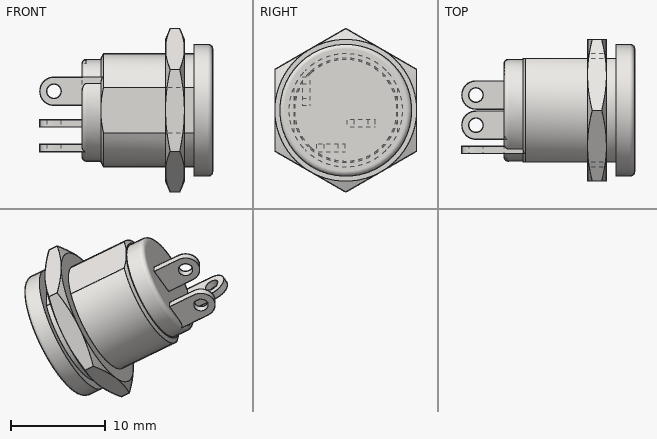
import cadquery as cq
import math

total_length = 18.3
boss_start = 4.47
barrel_start = 6.5
nut_start = 13.3
nut_thickness = 2.0
flange_thickness = 2.0
flange_start = total_length - flange_thickness

boss_radius = 5.4
boss_round = 0.5
barrel_radius = 6.0
barrel_flat_width = 10.98
barrel_chamfer_length = 0.25
barrel_chamfer_depth = 0.45
flange_radius = 6.97
flange_round = 0.5

nut_across_flats = 15.0
nut_corner_radius = nut_across_flats / math.sqrt(3)
nut_chamfer_length = 0.5

terminal_width = 3.0
terminal_thickness = 0.8
terminal_hole_diameter = 1.5
terminal_end = barrel_start + barrel_chamfer_length / 2
upright_terminal_center = (-4.19, 2.01)
flat_terminal_centers = [(1.61, -1.39), (-1.57, -3.99)]


def cylinder(start, length, radius):
    """Solid cylinder along +X, starting at the given X position."""
    return cq.Workplane("YZ").workplane(offset=start).circle(radius).extrude(length)


def make_barrel():
    """Round barrel with a chamfered rear rim and two side flats."""
    rim_radius = barrel_radius - barrel_chamfer_depth
    round_barrel = (
        cq.Workplane("XY")
        .moveTo(barrel_start, 0)
        .lineTo(barrel_start, rim_radius)
        .lineTo(barrel_start + barrel_chamfer_length, barrel_radius)
        .lineTo(flange_start, barrel_radius)
        .lineTo(flange_start, 0)
        .close()
        .revolve(360, (0, 0, 0), (1, 0, 0))
    )
    flat_limits = cq.Workplane("XY").box(
        2 * total_length, barrel_flat_width, 2 * barrel_radius
    )
    return round_barrel.intersect(flat_limits)


def make_nut():
    """Hexagon with cone-trimmed corners and a round bore, open beside the barrel flats."""
    corners = [
        (
            nut_corner_radius * math.sin(math.radians(60 * i)),
            nut_corner_radius * math.cos(math.radians(60 * i)),
        )
        for i in range(6)
    ]
    hexagon = (
        cq.Workplane("YZ")
        .workplane(offset=nut_start)
        .polyline(corners)
        .close()
        .extrude(nut_thickness)
    )
    face_radius = nut_across_flats / 2
    nut_end = nut_start + nut_thickness
    double_cone = (
        cq.Workplane("XY")
        .moveTo(nut_start, 0)
        .lineTo(nut_start, face_radius)
        .lineTo(nut_start + nut_chamfer_length, nut_corner_radius)
        .lineTo(nut_end - nut_chamfer_length, nut_corner_radius)
        .lineTo(nut_end, face_radius)
        .lineTo(nut_end, 0)
        .close()
        .revolve(360, (0, 0, 0), (1, 0, 0))
    )
    bore = cylinder(nut_start, nut_thickness, barrel_radius)
    return hexagon.intersect(double_cone).cut(bore)


def make_terminal():
    """Flat terminal centered on the X axis, with a round tip and a wire hole."""
    tip_radius = terminal_width / 2
    return (
        cq.Workplane("XY")
        .moveTo(terminal_end, tip_radius)
        .lineTo(tip_radius, tip_radius)
        .threePointArc((0, 0), (tip_radius, -tip_radius))
        .lineTo(terminal_end, -tip_radius)
        .close()
        .moveTo(tip_radius, 0)
        .circle(terminal_hole_diameter / 2)
        .extrude(terminal_thickness / 2, both=True)
    )


boss = cylinder(boss_start, barrel_start - boss_start, boss_radius)
boss = boss.faces("<X").edges().fillet(boss_round)

flange = cylinder(flange_start, flange_thickness, flange_radius)
flange = flange.faces(">X").edges().fillet(flange_round)

result = make_barrel().union(boss).union(flange).union(make_nut())

for center_y, center_z in flat_terminal_centers:
    result = result.union(make_terminal().translate((0, center_y, center_z)))

upright_terminal = make_terminal().rotate((0, 0, 0), (1, 0, 0), 90)
upright_y, upright_z = upright_terminal_center
result = result.union(upright_terminal.translate((0, upright_y, upright_z)))